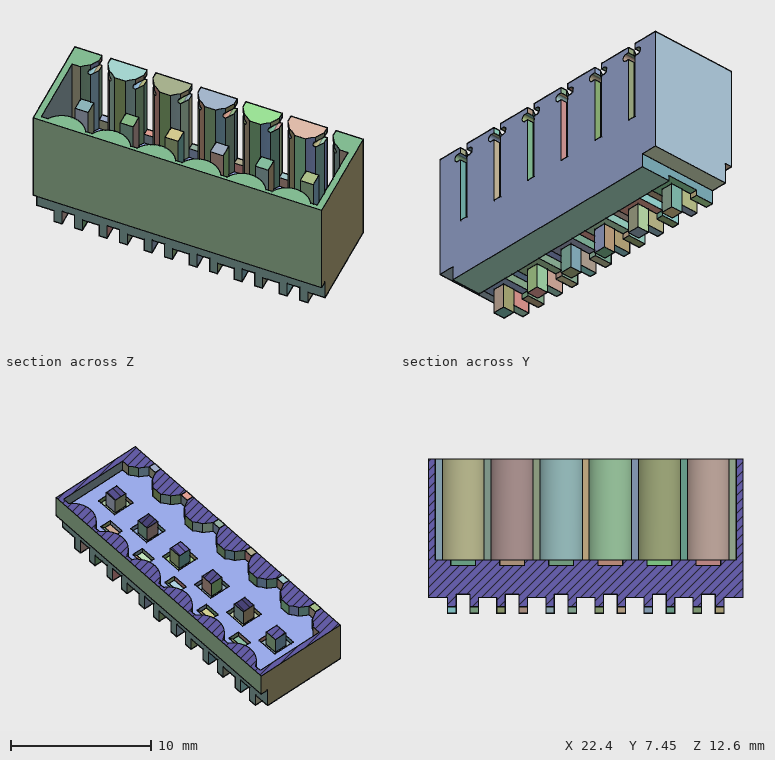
import cadquery as cq
import math


PIN_COUNT = 6
PITCH = 3.5
PIN_WIDTH = 1.0
PIN_Y = 3.52
PIN_TOP_GAP = 1.19

LENGTH = 22.4
DEPTH = 7.45
TOP_Z = 12.55
STEP_Z = 4.35
STEP_DEPTH = 0.6
END_Z = 2.67

FOOT_Z = 1.55
FOOT_INSET = 1.35
CHANNEL_Z = 2.0
FRONT_FOOT_DEPTH = 1.57
REAR_FOOT_DEPTH = 2.6
PIN_SLOT_TOP_Z = 2.9
PIN_SLOT_WIDTH = 0.96
FOOT_GAP_WIDTH = 1.3

SIDE_WALL = 0.5
FLOOR_Z = 5.35
END_FRONT_WALL = 0.34
FRONT_WALL = 0.27
REAR_WALL = 1.61
FRONT_LOBE_RADIUS = 1.72
FRONT_LOBE_TIP_Y = 1.15

NOTCH_WIDTH = 0.67
NOTCH_FLOOR_Z = 6.27
KEYWAY_BACK = 0.54
KEYWAY_BEND = 1.19
KEYWAY_BEND_HALF_WIDTH = 0.75
KEYWAY_RADIUS = 1.77
KEYWAY_CENTRE = 2.8
LATCH_LENGTH = 1.8
LATCH_HEIGHT = 0.58
LATCH_GAP = 0.76

RECESS_DEPTH = 0.4
PIN_RECESS_WIDTH = 1.75
RAMP_POCKET_FRONT_Y = 1.15
RAMP_POCKET_LENGTH = 0.9

pin_xs = [(i - (PIN_COUNT - 1) / 2) * PITCH for i in range(PIN_COUNT)]
between_xs = [x + PITCH / 2 for x in pin_xs[:-1]]
half_length = LENGTH / 2
front_foot_back_y = STEP_DEPTH + FRONT_FOOT_DEPTH
rear_foot_front_y = DEPTH - REAR_FOOT_DEPTH
pin_front_y = PIN_Y - PIN_WIDTH / 2


def block(x_range, y_range, z_range):
    """Axis-aligned box from its limits along X, Y and Z."""
    (x0, x1), (y0, y1), (z0, z1) = x_range, y_range, z_range
    return cq.Workplane("XY").box(x1 - x0, y1 - y0, z1 - z0, centered=False).translate((x0, y0, z0))


def around(centre, width):
    """Limits of a span of the given width about a centre."""
    return (centre - width / 2, centre + width / 2)


def make_shell():
    """Outer block with the overhanging front wall and the long foot block below."""
    overhang = block((-half_length, half_length), (0, DEPTH), (STEP_Z, TOP_Z))
    base = block((-half_length, half_length), (STEP_DEPTH, DEPTH), (END_Z, STEP_Z))
    foot_half = half_length - FOOT_INSET
    foot = block((-foot_half, foot_half), (STEP_DEPTH, DEPTH), (FOOT_Z, END_Z))
    return overhang.union(base).union(foot)


def make_front_lobe(x):
    """Convex rib on the front wall, opposite one pin."""
    return (
        cq.Workplane("XY", origin=(x, FRONT_LOBE_TIP_Y - FRONT_LOBE_RADIUS, FLOOR_Z))
        .circle(FRONT_LOBE_RADIUS)
        .extrude(TOP_Z - FLOOR_Z)
    )


def make_cavity():
    """Main cavity, with the front wall a little thicker outside the outer lobes."""
    inner_half = half_length - SIDE_WALL
    heights = (FLOOR_Z, TOP_Z)
    cavity = block((-inner_half, inner_half), (END_FRONT_WALL, DEPTH - REAR_WALL), heights)
    cavity = cavity.union(block((pin_xs[0], pin_xs[-1]), (FRONT_WALL, DEPTH - REAR_WALL), heights))
    for x in pin_xs:
        cavity = cavity.cut(make_front_lobe(x))
    return cavity


def make_keyway(x):
    """Flared channel in the rear wall: straight flanks, then a rounded mouth."""
    half_notch = NOTCH_WIDTH / 2
    mouth_rise = KEYWAY_CENTRE - REAR_WALL
    mouth_half = math.sqrt(KEYWAY_RADIUS**2 - mouth_rise**2)
    back_y = DEPTH - KEYWAY_BACK
    bend_y = DEPTH - KEYWAY_BEND
    mouth_y = DEPTH - REAR_WALL
    flared = (
        cq.Workplane("XY", origin=(x, 0, FLOOR_Z))
        .moveTo(-half_notch, back_y)
        .lineTo(half_notch, back_y)
        .lineTo(KEYWAY_BEND_HALF_WIDTH, bend_y)
        .radiusArc((mouth_half, mouth_y), KEYWAY_RADIUS)
        .lineTo(-mouth_half, mouth_y)
        .radiusArc((-KEYWAY_BEND_HALF_WIDTH, bend_y), KEYWAY_RADIUS)
        .close()
        .extrude(TOP_Z - FLOOR_Z)
    )
    notch = block(around(x, NOTCH_WIDTH), (back_y, DEPTH), (NOTCH_FLOOR_Z, TOP_Z))
    return flared.union(notch)


def make_latch_slot(x):
    """Round-ended slot through the rear wall across one keyway."""
    return (
        cq.Workplane("XZ", origin=(x, DEPTH, TOP_Z - LATCH_GAP))
        .slot2D(LATCH_LENGTH, LATCH_HEIGHT)
        .extrude(REAR_WALL)
    )


def make_ramp_pocket(x):
    """Floor pocket between two pins, with a 45 degree front wall."""
    back_y = RAMP_POCKET_FRONT_Y + RAMP_POCKET_LENGTH
    bottom_z = FLOOR_Z - RECESS_DEPTH
    return (
        cq.Workplane("YZ", origin=(x - FOOT_GAP_WIDTH / 2, 0, 0))
        .polyline([
            (RAMP_POCKET_FRONT_Y, FLOOR_Z),
            (RAMP_POCKET_FRONT_Y + RECESS_DEPTH, bottom_z),
            (back_y, bottom_z),
            (back_y, FLOOR_Z),
        ])
        .close()
        .extrude(FOOT_GAP_WIDTH)
    )


def make_pin(x):
    """Straight square contact pin."""
    return block(around(x, PIN_WIDTH), around(PIN_Y, PIN_WIDTH), (0, TOP_Z - PIN_TOP_GAP))


def make_housing():
    """Housing with its cavity, keyways, recesses, feet and pin holes."""
    housing = make_shell().cut(make_cavity())

    channel = block((-half_length, half_length), (front_foot_back_y, rear_foot_front_y), (FOOT_Z, CHANNEL_Z))
    housing = housing.cut(channel)

    for x in pin_xs:
        recess = block(
            around(x, PIN_RECESS_WIDTH), around(PIN_Y, PIN_RECESS_WIDTH), (FLOOR_Z - RECESS_DEPTH, FLOOR_Z)
        )
        pin_slot = block(around(x, PIN_SLOT_WIDTH), (STEP_DEPTH, pin_front_y), (FOOT_Z, PIN_SLOT_TOP_Z))
        housing = housing.cut(make_keyway(x)).cut(make_latch_slot(x))
        housing = housing.cut(recess).cut(pin_slot)
        housing = housing.cut(make_pin(x))

    for x in between_xs:
        foot_gap = block(around(x, FOOT_GAP_WIDTH), (STEP_DEPTH, rear_foot_front_y), (FOOT_Z, END_Z))
        housing = housing.cut(make_ramp_pocket(x)).cut(foot_gap)
    return housing.solids()


housing = make_housing()
pins = [make_pin(x) for x in pin_xs]

result = cq.Compound.makeCompound([housing.val(), *[pin.val() for pin in pins]])